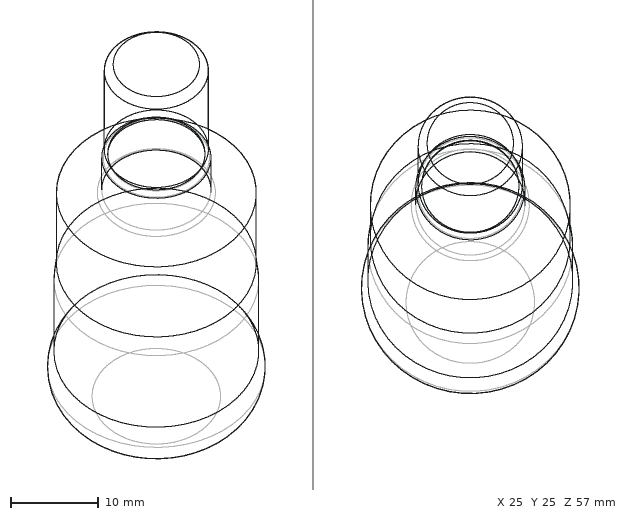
import cadquery as cq
import math

total_height = 57.0
joint_height = 22.95
taper_bottom = 20.05
shoulder_height = 35.0
neck_top = 41.0
relief_top = 42.5

bead_radius = 25.0 / 2
bead_round = 5.15
cap_radius = 23.55 / 2

body_radius = 22.95 / 2
neck_radius = 6.25
shank_radius = 6.0
relief_radius = 5.6
relief_cone_height = 0.85
fillet_radius = 0.5
tip_chamfer = 1.0

arc_middle = math.sqrt(0.5)


def add_concave_fillet(profile, radius, base_height):
    """Continue a downward profile at the given radius with a quarter round that flares out to base_height."""
    middle_offset = fillet_radius * (1 - arc_middle)
    return profile.threePointArc(
        (radius + middle_offset, base_height + middle_offset),
        (radius + fillet_radius, base_height),
    )


def make_stud():
    """Turned stud: cylindrical body, filleted neck, relief groove and chamfered shank."""
    profile = (
        cq.Workplane("XZ")
        .moveTo(0, joint_height)
        .lineTo(0, total_height)
        .lineTo(shank_radius - tip_chamfer, total_height)
        .lineTo(shank_radius, total_height - tip_chamfer)
        .lineTo(shank_radius, relief_top)
        .lineTo(relief_radius, relief_top - relief_cone_height)
        .lineTo(relief_radius, neck_top + fillet_radius)
    )
    profile = add_concave_fillet(profile, relief_radius, neck_top)
    profile = profile.lineTo(neck_radius, neck_top).lineTo(neck_radius, shoulder_height + fillet_radius)
    profile = add_concave_fillet(profile, neck_radius, shoulder_height)
    profile = profile.lineTo(body_radius, shoulder_height).lineTo(body_radius, joint_height).close()
    return profile.revolve(360, (0, 0, 0), (0, 1, 0))


def make_cap():
    """Cap with a rounded bottom bead and a slight taper up to the stud body."""
    bead_center = bead_radius - bead_round
    bead_top = bead_round + math.sqrt(bead_round**2 - (cap_radius - bead_center) ** 2)
    profile = (
        cq.Workplane("XZ")
        .lineTo(bead_center, 0)
        .threePointArc((bead_center + bead_round * arc_middle, bead_round * (1 - arc_middle)),
                       (bead_radius, bead_round))
        .radiusArc((cap_radius, bead_top), -bead_round)
        .lineTo(cap_radius, taper_bottom)
        .lineTo(body_radius, joint_height)
        .lineTo(0, joint_height)
        .close()
    )
    return profile.revolve(360, (0, 0, 0), (0, 1, 0))


stud = make_stud()
cap = make_cap()

result = cq.Compound.makeCompound([stud.val(), cap.val()])